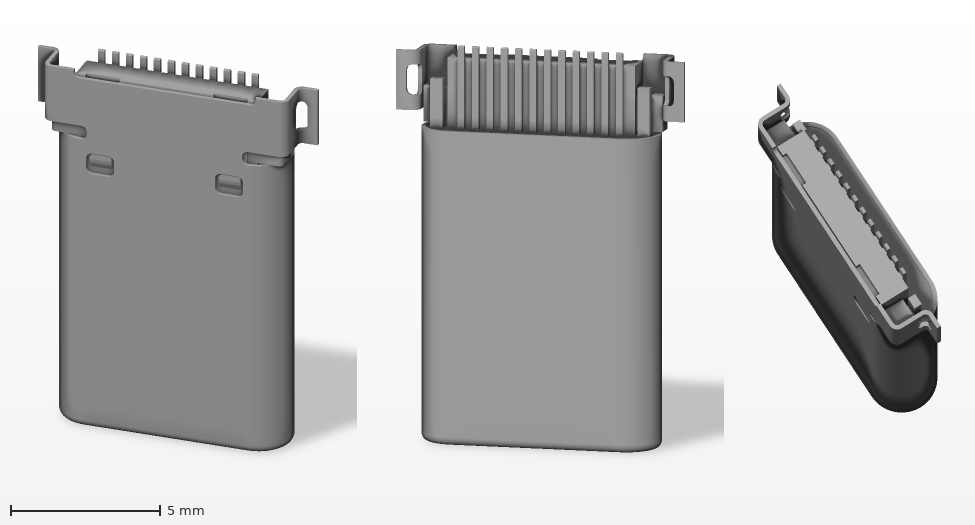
import cadquery as cq


total_length = 13.47
bracket_width = 9.98
shell_depth = 2.4
shell_width = 8.26
sheet = 0.15

front = -shell_depth / 2
plate_back = front + sheet

shell_top = 10.71
mouth_round = 0.27
recess_depth = 0.07
floor = shell_top - recess_depth

bracket_bottom = 11.21
bracket_top = 13.24
bend_inner = 0.15
bend_outer = bend_inner + sheet
wall_outer = 4.35
flange_back = 0.24
flange_front = flange_back - sheet
notch_half_width = 3.25
notch_floor = 12.96
notch_round = 0.2
neck_half_width = 2.77
neck_round = 0.2
ear_slot_bottom = 11.72
ear_slot_top = 12.75
ear_slot_reach = 4.63
ear_slot_front = -0.24
ear_slot_round = 0.2

insert_front = -1.01
block_half_width = 3.25
block_back = 0.07
block_top = 13.03
pad_half_width = 2.9
pocket_inner = 1.67
pocket_back = -0.86
pocket_depth = 0.2
shoulder_half_width = 4.14
shoulder_back = -0.16
shoulder_bottom = 10.76
shoulder_top = 12.0
shoulder_round = 0.16

latch_inner = 3.38
latch_outer = 3.8
latch_front = -0.04
latch_top = 12.31
latch_foot_top = 11.45

pin_count = 12
pin_pitch = 0.5
pin_width = 0.23
pin_front = 0.11
pin_tip = 0.04

window_x = 2.3
window_width = 1.0
window_bottom = 9.47
window_top = 10.24
window_round = 0.22
nose_width = 0.78
nose_top = 10.17
nose_flat_end = 10.01
nose_knee = 9.87
nose_bottom = 9.7
nose_height = 0.11
nose_knee_height = 0.08
nose_round = 0.11


def box(x0, x1, y0, y1, z0, z1):
    """Block between two opposite corners."""
    return cq.Workplane("XY").box(x1 - x0, y1 - y0, z1 - z0, centered=False).translate((x0, y0, z0))


def both_sides(body):
    """The body together with its mirror image across the middle plane."""
    return body.union(body.mirror("YZ"))


def obround(width, depth, z0, z1):
    """Prism whose section has straight long sides and half-round ends."""
    return cq.Workplane("XY", origin=(0, 0, z0)).slot2D(width, depth).extrude(z1 - z0)


def make_shell():
    shell = obround(shell_width, shell_depth, 0, shell_top).faces("<Z").edges().fillet(mouth_round)
    recess = obround(shell_width - 2 * sheet, shell_depth - 2 * sheet, floor, shell_top)
    return shell.cut(recess)


def bracket_half_section():
    """Right half of the bent sheet: front plate, side wall and flange."""
    wall_inner = wall_outer - sheet
    flange_start = wall_outer + bend_inner
    flange_end = bracket_width / 2
    return (
        cq.Workplane("XY", origin=(0, 0, bracket_bottom))
        .moveTo(0, front)
        .lineTo(wall_outer - bend_outer, front)
        .radiusArc((wall_outer, front + bend_outer), -bend_outer)
        .lineTo(wall_outer, flange_front - bend_inner)
        .radiusArc((flange_start, flange_front), bend_inner)
        .lineTo(flange_end, flange_front)
        .lineTo(flange_end, flange_back)
        .lineTo(flange_start, flange_back)
        .radiusArc((wall_inner, flange_back - bend_outer), -bend_outer)
        .lineTo(wall_inner, plate_back + bend_inner)
        .radiusArc((wall_inner - bend_inner, plate_back), bend_inner)
        .lineTo(0, plate_back)
        .close()
    )


def make_bracket():
    bracket = both_sides(bracket_half_section().extrude(bracket_top - bracket_bottom))

    notch = box(-notch_half_width, notch_half_width, front, plate_back, notch_floor, bracket_top)
    bracket = bracket.cut(notch.edges("|Y and <Z").fillet(notch_round))

    ear_slot = box(0, ear_slot_reach, ear_slot_front, flange_back, ear_slot_bottom, ear_slot_top)
    ear_slot = ear_slot.edges("|Y and >X").fillet(ear_slot_round)
    ear_slot = ear_slot.edges("|X and <Y").fillet(ear_slot_round)
    return bracket.cut(both_sides(ear_slot))


def make_neck():
    """Front plate between shell and bracket, flared by a round at each corner."""
    flare = neck_half_width + neck_round
    neck = box(-flare, flare, front, plate_back, shell_top, bracket_bottom)
    side_gap = box(neck_half_width, shell_width / 2, front, plate_back, shell_top, bracket_bottom)
    return neck.cut(both_sides(side_gap.edges("|Y and <X").fillet(neck_round)))


def make_insulator():
    block = box(-block_half_width, block_half_width, insert_front, block_back, floor, block_top)
    pocket_floor = block_top - pocket_depth
    pad = box(-pad_half_width, pad_half_width, plate_back, insert_front, floor, pocket_floor)
    pocket = box(pocket_inner, pad_half_width, insert_front, pocket_back, pocket_floor, block_top)
    shoulder = box(
        -shoulder_half_width, shoulder_half_width, insert_front, shoulder_back, shoulder_bottom, shoulder_top
    )
    shoulder = shoulder.edges("|Z and <Y").fillet(shoulder_round)
    return block.cut(both_sides(pocket)).union(pad).union(shoulder)


def make_latches():
    """Upright latch arms behind the shoulders, each with a foot reaching forward to the shoulder."""
    arm = box(latch_inner, latch_outer, latch_front, flange_back, floor, latch_top)
    foot = box(latch_inner, latch_outer, shoulder_back, latch_front, floor, latch_foot_top)
    return both_sides(arm.union(foot))


def make_pins():
    """Row of flat pins, each carried by a low rib on the back of the block."""
    half = pin_width / 2
    pin = box(-half, half, pin_front, flange_back, floor, total_length)
    pin = pin.faces(">Z").edges("|X").chamfer(pin_tip)
    pin = pin.union(box(-half, half, block_back, pin_front, floor, block_top))
    pins = cq.Workplane("XY")
    for index in range(pin_count):
        x = (index - (pin_count - 1) / 2) * pin_pitch
        pins = pins.union(pin.translate((x, 0, 0)))
    return pins


def make_windows():
    left = window_x - window_width / 2
    right = window_x + window_width / 2
    window = box(left, right, front, plate_back, window_bottom, window_top)
    return both_sides(window.edges("|Y").fillet(window_round))


def make_noses():
    """Spring noses standing on the window floors, sloping down towards the mating end."""
    nose = (
        cq.Workplane("YZ", origin=(window_x - nose_width / 2, 0, 0))
        .moveTo(plate_back, nose_top)
        .lineTo(plate_back - nose_height, nose_top)
        .lineTo(plate_back - nose_height, nose_flat_end)
        .lineTo(plate_back - nose_knee_height, nose_knee)
        .lineTo(plate_back, nose_bottom)
        .close()
        .extrude(nose_width)
    )
    return both_sides(nose.edges("|Y and >Z").fillet(nose_round))


result = (
    make_shell()
    .cut(make_windows())
    .union(make_noses())
    .union(make_bracket())
    .union(make_neck())
    .union(make_insulator())
    .union(make_latches())
    .union(make_pins())
)